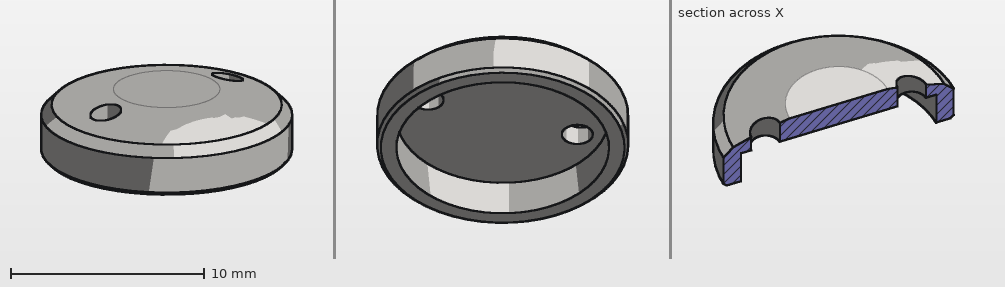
import cadquery as cq

outer_radius = 6.5
height = 3.5
bottom_chamfer = 0.2

wall_top = 2.09
bevel = 0.55
crown_radius = outer_radius - bevel
crown_base = wall_top + bevel
flat_radius = 2.75
crown_mid_radius = (crown_radius + flat_radius) / 2
crown_bulge = 0.08
crown_mid_height = (crown_base + height) / 2 + crown_bulge

hole_diameter = 1.6
hole_offset = 4.12

recess_radius = 5.5
recess_depth = 2.0


def make_disc():
    """Revolve the half section about the Z axis."""
    return (
        cq.Workplane("XZ")
        .lineTo(outer_radius - bottom_chamfer, 0)
        .lineTo(outer_radius, bottom_chamfer)
        .lineTo(outer_radius, wall_top)
        .lineTo(crown_radius, crown_base)
        .threePointArc((crown_mid_radius, crown_mid_height), (flat_radius, height))
        .lineTo(0, height)
        .close()
        .revolve(360, (0, 0, 0), (0, 1, 0))
    )


def drill_holes(disc):
    """Cut the two vertical holes, on opposite sides of the centre along Y."""
    holes = (
        cq.Workplane("XY")
        .pushPoints([(0, -hole_offset), (0, hole_offset)])
        .circle(hole_diameter / 2)
        .extrude(height)
    )
    return disc.cut(holes)


def hollow_underside(disc):
    """Cut a round recess into the underside, leaving a rim and a thick top."""
    recess = cq.Workplane("XY").circle(recess_radius).extrude(recess_depth)
    return disc.cut(recess)


result = drill_holes(hollow_underside(make_disc()))